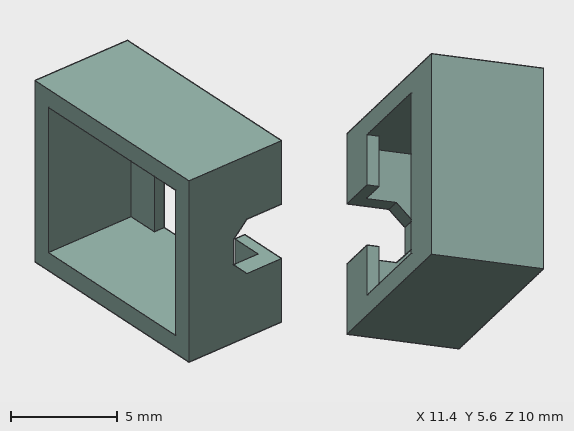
import cadquery as cq

width = 11.4
depth = 5.6
height = 10.02
wall = 1.0

ledge_width = 1.72
ledge_thickness = 0.6

slot_height = 3.0
slot_length = 2.9
slot_chamfer = 0.8

inner_width = width - 2 * wall
inner_height = height - 2 * wall
back = depth / 2

sleeve = cq.Workplane("XY").box(width, depth, height)
bore = cq.Workplane("XY").box(inner_width, depth, inner_height)
body = sleeve.cut(bore)


def ledge(side):
    """Full-height ledge on the side wall at -X (side = -1) or +X (side = 1)."""
    center_x = side * (inner_width - ledge_width) / 2
    center_y = back - ledge_thickness / 2
    return (
        cq.Workplane("XY")
        .box(ledge_width, ledge_thickness, inner_height)
        .translate((center_x, center_y, 0))
    )


for side in (-1, 1):
    body = body.union(ledge(side))

slot_width = ledge_width + wall
slot = (
    cq.Workplane("XY")
    .box(slot_width, slot_length, slot_height)
    .edges("|X and <Y")
    .chamfer(slot_chamfer)
    .translate(((width - slot_width) / 2, back - slot_length / 2, 0))
)

result = body.cut(slot)